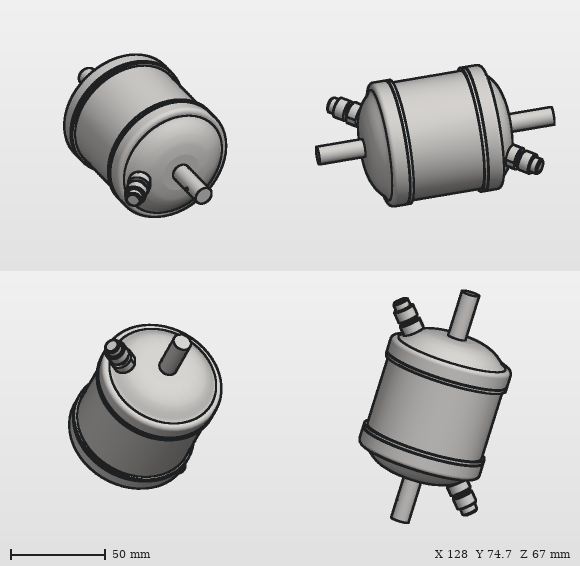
import cadquery as cq
import math

DRUM_RADIUS = 31.9
COLLAR_DIAMETER = 67.0
COLLAR_RADIUS = COLLAR_DIAMETER / 2
COLLAR_INNER_X = 19.3
COLLAR_OUTER_X = 30.3
COLLAR_ROUND = 2.4
GROOVE_X = 21.4
GROOVE_WIDTH = 0.4
GROOVE_DEPTH = 0.4

DOME_FACE_X = 39.2
DOME_FLAT_RADIUS = 10.9
DOME_ROUND = 22.7
DOME_ARC_ANGLE = 42.7
CONE_LENGTH = 2.4
BLEND_END_RADIUS = 29.8

PIPE_LENGTH = 128
PIPE_RADIUS = 4.9
DIMPLE_X = 54.0
DIMPLE_RADIUS = 0.6
DIMPLE_DEPTH = 0.6

FITTING_ANGLE = 41
FITTING_TIP_X = 49.3
FITTING_TIP_Y = 34.7
NOSE_RADIUS = 4.2
NOSE_CHAMFER = 0.8
THREAD_RADIUS = 5.5
THREAD_START = 4.4
THREAD_END = 11.5
THREAD_LEAD_CHAMFER = 0.4
THREAD_BACK_CHAMFER = 1.0
NECK_RADIUS = 4.1
WRENCH_START = 12.8
WRENCH_END = 18.2
WRENCH_RADIUS = 6.0
WRENCH_FLAT_WIDTH = 11.3


def dome_point(angle):
    """Point (x, radius) on the dome shoulder, by its angle from the flat centre."""
    a = math.radians(angle)
    x = DOME_FACE_X - DOME_ROUND * (1 - math.cos(a))
    return x, DOME_FLAT_RADIUS + DOME_ROUND * math.sin(a)


def make_end_cap():
    arc_end = dome_point(DOME_ARC_ANGLE)
    slope = math.radians(DOME_ARC_ANGLE)
    cone_direction = (-math.sin(slope), math.cos(slope))
    cone_end = (
        arc_end[0] + CONE_LENGTH * cone_direction[0],
        arc_end[1] + CONE_LENGTH * cone_direction[1],
    )
    groove_half = GROOVE_WIDTH / 2
    profile = (
        cq.Workplane("XY")
        .moveTo(COLLAR_INNER_X, 0)
        .lineTo(DOME_FACE_X, 0)
        .lineTo(DOME_FACE_X, DOME_FLAT_RADIUS)
        .threePointArc(dome_point(DOME_ARC_ANGLE / 2), arc_end)
        .lineTo(*cone_end)
        .tangentArcPoint((COLLAR_OUTER_X, BLEND_END_RADIUS), relative=False)
        .lineTo(COLLAR_OUTER_X, COLLAR_RADIUS - COLLAR_ROUND)
        .radiusArc((COLLAR_OUTER_X - COLLAR_ROUND, COLLAR_RADIUS), -COLLAR_ROUND)
        .lineTo(GROOVE_X + groove_half, COLLAR_RADIUS)
        .lineTo(GROOVE_X, COLLAR_RADIUS - GROOVE_DEPTH)
        .lineTo(GROOVE_X - groove_half, COLLAR_RADIUS)
        .lineTo(COLLAR_INNER_X, COLLAR_RADIUS)
        .close()
    )
    return profile.revolve(360, (0, 0), (1, 0))


def make_pipe():
    pipe = cq.Workplane("YZ").circle(PIPE_RADIUS).extrude(PIPE_LENGTH / 2, both=True)
    dimples = (
        cq.Workplane("XZ", origin=(0, -PIPE_RADIUS, 0))
        .pushPoints([(-DIMPLE_X, 0), (DIMPLE_X, 0)])
        .circle(DIMPLE_RADIUS)
        .extrude(DIMPLE_DEPTH, both=True)
    )
    return pipe.cut(dimples)


def make_fitting():
    """Fitting on the +X, -Y side, turned along X with its tip at the origin, then placed."""
    turned = (
        cq.Workplane("XY")
        .lineTo(0, NOSE_RADIUS - NOSE_CHAMFER)
        .lineTo(-NOSE_CHAMFER, NOSE_RADIUS)
        .lineTo(-THREAD_START, NOSE_RADIUS)
        .lineTo(-THREAD_START, THREAD_RADIUS - THREAD_LEAD_CHAMFER)
        .lineTo(-THREAD_START - THREAD_LEAD_CHAMFER, THREAD_RADIUS)
        .lineTo(-THREAD_END + THREAD_BACK_CHAMFER, THREAD_RADIUS)
        .lineTo(-THREAD_END, THREAD_RADIUS - THREAD_BACK_CHAMFER)
        .lineTo(-THREAD_END, NECK_RADIUS)
        .lineTo(-WRENCH_START, NECK_RADIUS)
        .lineTo(-WRENCH_START, WRENCH_RADIUS)
        .lineTo(-WRENCH_END, WRENCH_RADIUS)
        .lineTo(-WRENCH_END, 0)
        .close()
        .revolve(360, (0, 0), (1, 0))
    )
    flats = cq.Workplane("XY").box(2 * WRENCH_END, WRENCH_FLAT_WIDTH, 2 * WRENCH_RADIUS)
    return (
        turned.intersect(flats)
        .rotate((0, 0, 0), (0, 0, 1), -FITTING_ANGLE)
        .translate((FITTING_TIP_X, -FITTING_TIP_Y, 0))
    )


drum = cq.Workplane("YZ").circle(DRUM_RADIUS).extrude(COLLAR_INNER_X, both=True)
end_cap = make_end_cap()
shell = drum.union(end_cap).union(end_cap.mirror("YZ"))
fitting = make_fitting()
opposite_fitting = fitting.rotate((0, 0, 0), (0, 0, 1), 180)

result = shell.union(make_pipe()).union(fitting).union(opposite_fitting)